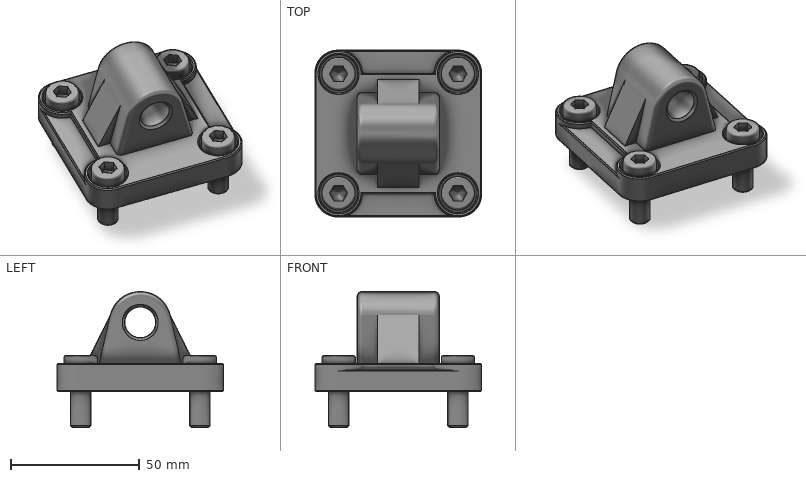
import cadquery as cq
import math

PLATE_SIZE = 65.0
PLATE_THICKNESS = 11.0
SCREW_SPACING = 46.5
EDGE_CHAMFER = 0.5
HALF_PLATE = PLATE_SIZE / 2
SCREW_OFFSET = SCREW_SPACING / 2
CORNER_RADIUS = 9.0

STEP_WIDTH = 9.0
STEP_DEPTH = 2.5
STEP_FILLET = 1.0
BOSS_RADIUS = HALF_PLATE - SCREW_OFFSET
STEP_FLOOR = PLATE_THICKNESS - STEP_DEPTH
CHAMFER_BASE = PLATE_THICKNESS - EDGE_CHAMFER
CUT_MARGIN = 1.0

COUNTERBORE_DIAMETER = 15.0
COUNTERBORE_DEPTH = 5.0
SCREW_DIAMETER = 8.0
SCREW_PROTRUSION = 14.0
SCREW_TIP_CHAMFER = 0.8
HEAD_DIAMETER = 13.0
HEAD_HEIGHT = SCREW_DIAMETER
HEAD_FILLET = 0.8
SOCKET_ACROSS_FLATS = 6.0
SOCKET_DEPTH = 4.0
SOCKET_CONE_DEPTH = 2.0
SOCKET_SIDES = 6
SOCKET_ACROSS_CORNERS = SOCKET_ACROSS_FLATS / math.cos(math.pi / SOCKET_SIDES)
HEAD_SEAT = PLATE_THICKNESS - COUNTERBORE_DEPTH
HEAD_TOP = HEAD_SEAT + HEAD_HEIGHT

LUG_WIDTH = 32.0
LUG_BASE_DEPTH = 32.0
LUG_RADIUS = 12.0
LUG_FILLET = 2.0
PIVOT_HEIGHT = 27.0
PIVOT_BORE = 12.0
PIVOT_CHAMFER = 1.0
RIB_WIDTH = 16.0
RIB_SPAN = 42.0


def tangent_point():
    """(Y, Z) where the +Y flank of the lug becomes tangent to its round top."""
    foot_y = LUG_BASE_DEPTH / 2
    foot_z = PLATE_THICKNESS - PIVOT_HEIGHT
    foot_angle = math.atan2(foot_z, foot_y)
    angle = foot_angle + math.acos(LUG_RADIUS / math.hypot(foot_y, foot_z))
    return LUG_RADIUS * math.cos(angle), PIVOT_HEIGHT + LUG_RADIUS * math.sin(angle)


def boss():
    """Round boss with a chamfered top edge, on the Z axis."""
    return (
        cq.Workplane("XY")
        .circle(BOSS_RADIUS)
        .extrude(PLATE_THICKNESS)
        .faces(">Z")
        .chamfer(EDGE_CHAMFER)
    )


def step_layer(profile):
    """Sweep a (Y, Z) profile along the -Y edge and leave out the round corner bosses."""
    layer = cq.Workplane("YZ").polyline(profile).close().extrude(SCREW_OFFSET, both=True)
    for x in (-SCREW_OFFSET, SCREW_OFFSET):
        layer = layer.cut(boss().translate((x, -SCREW_OFFSET, 0)))
    return layer


def step_cutter():
    """Cutter for the step along the -Y edge, with its edge and wall chamfers."""
    outside = -HALF_PLATE - CUT_MARGIN
    edge_chamfer_end = -HALF_PLATE + EDGE_CHAMFER
    wall = -HALF_PLATE + STEP_WIDTH

    lower = step_layer([
        (outside, CHAMFER_BASE),
        (outside, STEP_FLOOR - EDGE_CHAMFER - CUT_MARGIN),
        (edge_chamfer_end, STEP_FLOOR),
        (wall, STEP_FLOOR),
        (wall, CHAMFER_BASE),
    ])
    wall_corners = cq.selectors.BoxSelector(
        (-SCREW_OFFSET, wall - STEP_FILLET, STEP_FLOOR),
        (SCREW_OFFSET, wall + STEP_FILLET, PLATE_THICKNESS),
    )
    lower = lower.edges("|Z").edges(wall_corners).fillet(STEP_FILLET)

    upper = step_layer([
        (outside, CHAMFER_BASE),
        (wall, CHAMFER_BASE),
        (wall + EDGE_CHAMFER, PLATE_THICKNESS),
        (outside, PLATE_THICKNESS),
    ])
    return lower.union(upper)


def make_plate():
    plate = cq.Workplane("XY").rect(PLATE_SIZE, PLATE_SIZE).extrude(PLATE_THICKNESS)
    plate = plate.edges("|Z").fillet(CORNER_RADIUS)
    plate = plate.faces("<Z or >Z").edges().chamfer(EDGE_CHAMFER)
    cutter = step_cutter()
    return plate.cut(cutter).cut(cutter.mirror("XZ"))


def counterbore():
    """Cutter for a counterbore with a chamfered rim, on the Z axis."""
    radius = COUNTERBORE_DIAMETER / 2
    rim = radius + EDGE_CHAMFER
    return (
        cq.Workplane("XZ")
        .moveTo(0, HEAD_SEAT)
        .lineTo(radius, HEAD_SEAT)
        .lineTo(radius, PLATE_THICKNESS - EDGE_CHAMFER)
        .lineTo(rim, PLATE_THICKNESS)
        .lineTo(0, PLATE_THICKNESS)
        .close()
        .revolve(360, (0, 0, 0), (0, 1, 0))
    )


def hex_socket():
    """Cutter for the hexagon socket with its conical bottom, on the Z axis."""
    cone_tip = HEAD_TOP - SOCKET_DEPTH - SOCKET_CONE_DEPTH
    envelope = (
        cq.Workplane("XZ")
        .moveTo(0, cone_tip)
        .lineTo(SOCKET_ACROSS_CORNERS / 2, HEAD_TOP - SOCKET_DEPTH)
        .lineTo(SOCKET_ACROSS_CORNERS / 2, HEAD_TOP)
        .lineTo(0, HEAD_TOP)
        .close()
        .revolve(360, (0, 0, 0), (0, 1, 0))
    )
    hexagon = (
        cq.Workplane("XY")
        .workplane(offset=cone_tip)
        .polygon(SOCKET_SIDES, SOCKET_ACROSS_CORNERS)
        .extrude(HEAD_TOP - cone_tip)
    )
    return hexagon.intersect(envelope)


def screw():
    """Socket head screw on the Z axis, its head resting on the counterbore floor."""
    shank = (
        cq.Workplane("XY")
        .workplane(offset=-SCREW_PROTRUSION)
        .circle(SCREW_DIAMETER / 2)
        .extrude(SCREW_PROTRUSION + HEAD_SEAT)
        .faces("<Z")
        .chamfer(SCREW_TIP_CHAMFER)
    )
    head = (
        cq.Workplane("XY")
        .workplane(offset=HEAD_SEAT)
        .circle(HEAD_DIAMETER / 2)
        .extrude(HEAD_HEIGHT)
        .faces(">Z")
        .edges()
        .fillet(HEAD_FILLET)
    )
    return shank.union(head).cut(hex_socket())


def make_lug():
    """Lug with a round top, tangent flanks and rounded end edges."""
    top_y, top_z = tangent_point()
    half_base = LUG_BASE_DEPTH / 2
    lug = (
        cq.Workplane("YZ")
        .moveTo(-half_base, PLATE_THICKNESS)
        .lineTo(half_base, PLATE_THICKNESS)
        .lineTo(top_y, top_z)
        .threePointArc((0, PIVOT_HEIGHT + LUG_RADIUS), (-top_y, top_z))
        .close()
        .extrude(LUG_WIDTH / 2, both=True)
    )
    return lug.faces("<X or >X").edges("not |Y").fillet(LUG_FILLET)


def make_ribs():
    """Both ribs as one wedge through the lug, rising to the tangent points."""
    top_y, top_z = tangent_point()
    return (
        cq.Workplane("YZ")
        .moveTo(-RIB_SPAN / 2, PLATE_THICKNESS)
        .lineTo(RIB_SPAN / 2, PLATE_THICKNESS)
        .lineTo(top_y, top_z)
        .lineTo(-top_y, top_z)
        .close()
        .extrude(RIB_WIDTH / 2, both=True)
    )


def pivot_bore():
    """Cutter for the bore along X with a chamfer at each end."""
    radius = PIVOT_BORE / 2
    mouth = radius + PIVOT_CHAMFER
    half_width = LUG_WIDTH / 2
    return (
        cq.Workplane("XY")
        .moveTo(-half_width, 0)
        .lineTo(-half_width, mouth)
        .lineTo(-half_width + PIVOT_CHAMFER, radius)
        .lineTo(half_width - PIVOT_CHAMFER, radius)
        .lineTo(half_width, mouth)
        .lineTo(half_width, 0)
        .close()
        .revolve(360, (0, 0, 0), (1, 0, 0))
        .translate((0, 0, PIVOT_HEIGHT))
    )


bracket = make_plate().union(make_lug()).union(make_ribs()).cut(pivot_bore())
for x in (-SCREW_OFFSET, SCREW_OFFSET):
    for y in (-SCREW_OFFSET, SCREW_OFFSET):
        bracket = bracket.cut(counterbore().translate((x, y, 0)))
        bracket = bracket.union(screw().translate((x, y, 0)))

result = bracket